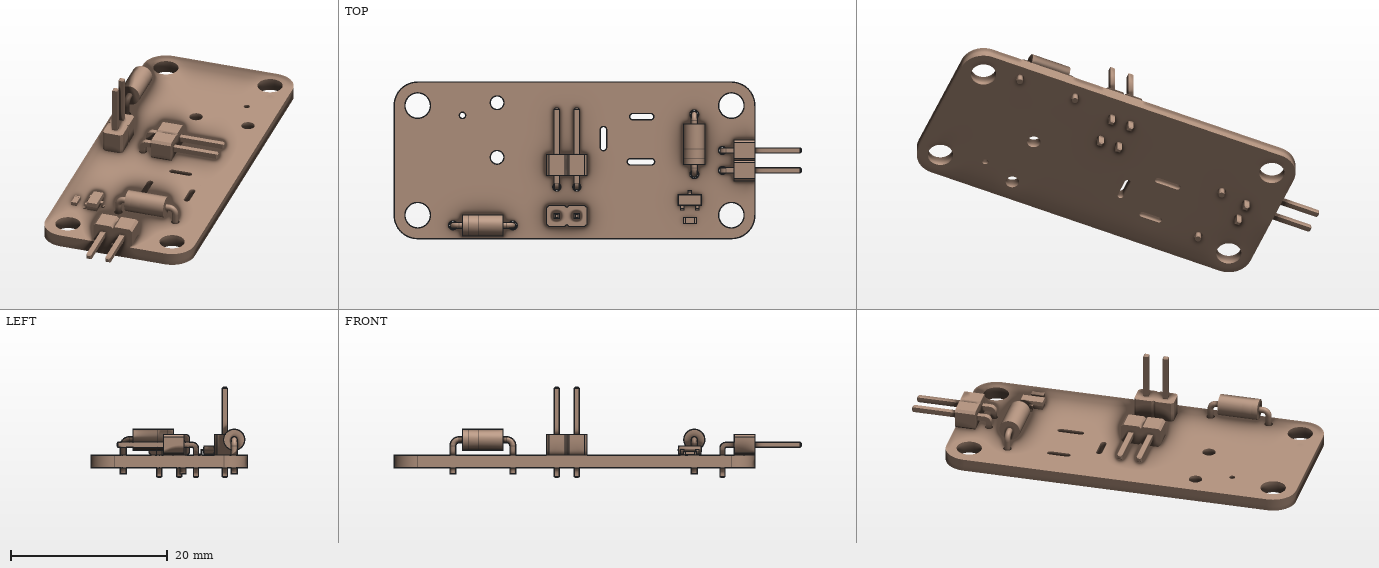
import cadquery as cq
import math

OVERALL_LENGTH = 51.95
BOARD_LENGTH = 46.0
BOARD_WIDTH = 20.0
BOARD_THICKNESS = 1.6
BOARD_CORNER_RADIUS = 3.0
MOUNT_HOLE_DIAMETER = 3.2
MOUNT_HOLE_INSET = 3.0

LARGE_HOLE_DIAMETER = 1.7
LARGE_HOLE_X = 13.15
LARGE_HOLE_YS = (10.4, 17.35)
SMALL_HOLE_DIAMETER = 0.8
SMALL_HOLE_CENTER = (8.7, 15.75)

SLOT_WIDTH = 0.8
SLOTS = (
    ((26.7, 12.8), 3.05, 90),
    ((31.6, 15.6), 3.05, 0),
    ((31.5, 9.8), 3.5, 0),
)

DIODE_DIAMETER = 2.7
DIODE_LENGTH = 5.2
DIODE_BAND_START = 0.8
DIODE_BAND_WIDTH = 1.25
DIODE_CLEARANCE = 0.6
DIODE_AXIS_Z = BOARD_THICKNESS + DIODE_CLEARANCE + DIODE_DIAMETER / 2
DIODE_LEAD_DIAMETER = 0.8
DIODE_LEAD_PITCH = 7.65
DIODE_LEAD_BEND_RADIUS = 0.8
DIODE_LEAD_BOTTOM_Z = -0.8
DIODE_HOLE_DIAMETER = 1.1
DIODES = (
    ((11.3, 1.7), 0),
    ((38.3, 12.05), 90),
)

PIN_PITCH = 2.55
PIN_OFFSETS = (-PIN_PITCH / 2, PIN_PITCH / 2)
PIN_SIZE = 0.7
PIN_TIP_CHAMFER = 0.15
PIN_BEND_RADIUS = 0.45
PIN_BOTTOM_Z = -1.25
PIN_HOLE_DIAMETER = 1.0
HOUSING_SIZE = 2.65
HOUSING_CHAMFER = 0.3

STRAIGHT_PIN_TOP_Z = 10.3
STRAIGHT_HEADER_CENTER = (22.0, 2.9)

ANGLED_PIN_Z = BOARD_THICKNESS + HOUSING_SIZE / 2
ANGLED_PIN_REACH = 10.1
ANGLED_HOUSING_START = 1.5
ANGLED_HEADERS = (
    ((OVERALL_LENGTH - ANGLED_PIN_REACH, BOARD_WIDTH / 2), 0),
    ((STRAIGHT_HEADER_CENTER[0], 6.6), 90),
)

TRANSISTOR_CENTER = (37.7, 4.95)
TRANSISTOR_LENGTH = 2.95
TRANSISTOR_WIDTH = 1.4
TRANSISTOR_STANDOFF = 0.1
TRANSISTOR_TOP = 1.2
TRANSISTOR_DRAFT = 0.05
TRANSISTOR_LEAD_SPAN = 2.5
TRANSISTOR_LEAD_WIDTH = 0.45
TRANSISTOR_LEAD_THICKNESS = 0.15
TRANSISTOR_LEAD_PITCH = 1.9
TRANSISTOR_FOOT_LENGTH = 0.35

RESISTOR_CENTER = (37.7, 2.35)
RESISTOR_LENGTH = 1.65
RESISTOR_WIDTH = 0.8
RESISTOR_HEIGHT = 0.45
RESISTOR_CAP_LENGTH = 0.25
RESISTOR_CAP_THICKNESS = 0.025


def placed(points, center, angle):
    """Turn local points by an angle about the origin, then shift them to a center."""
    cosine = math.cos(math.radians(angle))
    sine = math.sin(math.radians(angle))
    return [(center[0] + x * cosine - y * sine, center[1] + x * sine + y * cosine) for x, y in points]


def place(body, center, angle):
    """Turn a body about the Z axis, then shift it to its center on the board."""
    return body.rotate((0, 0, 0), (0, 0, 1), angle).translate((*center, 0))


def make_board():
    board = (
        cq.Workplane("XY")
        .box(BOARD_LENGTH, BOARD_WIDTH, BOARD_THICKNESS, centered=False)
        .edges("|Z")
        .fillet(BOARD_CORNER_RADIUS)
    )

    def drill(points, diameter):
        return cq.Workplane("XY").pushPoints(points).circle(diameter / 2).extrude(BOARD_THICKNESS)

    mount_points = [
        (x, y)
        for x in (MOUNT_HOLE_INSET, BOARD_LENGTH - MOUNT_HOLE_INSET)
        for y in (MOUNT_HOLE_INSET, BOARD_WIDTH - MOUNT_HOLE_INSET)
    ]
    diode_legs = [(-DIODE_LEAD_PITCH / 2, 0), (DIODE_LEAD_PITCH / 2, 0)]
    diode_points = [point for center, angle in DIODES for point in placed(diode_legs, center, angle)]
    straight_legs = [(offset, 0) for offset in PIN_OFFSETS]
    angled_legs = [(0, offset) for offset in PIN_OFFSETS]
    pin_points = placed(straight_legs, STRAIGHT_HEADER_CENTER, 0)
    for center, angle in ANGLED_HEADERS:
        pin_points += placed(angled_legs, center, angle)

    board = board.cut(drill(mount_points, MOUNT_HOLE_DIAMETER))
    board = board.cut(drill([(LARGE_HOLE_X, y) for y in LARGE_HOLE_YS], LARGE_HOLE_DIAMETER))
    board = board.cut(drill([SMALL_HOLE_CENTER], SMALL_HOLE_DIAMETER))
    board = board.cut(drill(diode_points, DIODE_HOLE_DIAMETER))
    board = board.cut(drill(pin_points, PIN_HOLE_DIAMETER))
    for center, length, angle in SLOTS:
        slot = cq.Workplane("XY").center(*center).slot2D(length, SLOT_WIDTH, angle)
        board = board.cut(slot.extrude(BOARD_THICKNESS))
    return board


def make_diode(center, angle):
    radius = DIODE_DIAMETER / 2
    start = -DIODE_LENGTH / 2
    band_start = start + DIODE_BAND_START
    body = (
        cq.Workplane("XZ", origin=(0, 0, DIODE_AXIS_Z))
        .moveTo(start, 0)
        .lineTo(start, radius)
        .lineTo(band_start, radius)
        .lineTo(band_start + DIODE_BAND_WIDTH, radius)
        .lineTo(-start, radius)
        .lineTo(-start, 0)
        .close()
        .revolve(360, (0, 0, 0), (1, 0, 0), clean=False)
    )

    leg_x = -DIODE_LEAD_PITCH / 2
    bend = DIODE_LEAD_BEND_RADIUS
    path = (
        cq.Workplane("XZ")
        .moveTo(leg_x, DIODE_LEAD_BOTTOM_Z)
        .lineTo(leg_x, DIODE_AXIS_Z - bend)
        .radiusArc((leg_x + bend, DIODE_AXIS_Z), bend)
        .lineTo(start, DIODE_AXIS_Z)
    )
    lead = (
        cq.Workplane("XY", origin=(leg_x, 0, DIODE_LEAD_BOTTOM_Z))
        .circle(DIODE_LEAD_DIAMETER / 2)
        .sweep(path)
    )
    diode = body.union(lead, clean=False).union(lead.mirror("YZ"), clean=False)
    return place(diode, center, angle)


def make_housing(plane):
    """Two joined blocks, one around each pin, pitched along the plane's first axis and chamfered."""
    half = HOUSING_SIZE / 2
    inner = half - HOUSING_CHAMFER
    corners = [
        (half, inner), (inner, half), (-inner, half), (-half, inner),
        (-half, -inner), (-inner, -half), (inner, -half), (half, -inner),
    ]
    blocks = [
        plane.center(offset, 0).polyline(corners).close().extrude(HOUSING_SIZE)
        for offset in PIN_OFFSETS
    ]
    return blocks[0].union(blocks[1])


def make_straight_header():
    header = make_housing(cq.Workplane("XY", origin=(0, 0, BOARD_THICKNESS)))
    for offset in PIN_OFFSETS:
        pin = (
            cq.Workplane("XY", origin=(offset, 0, PIN_BOTTOM_Z))
            .rect(PIN_SIZE, PIN_SIZE)
            .extrude(STRAIGHT_PIN_TOP_Z - PIN_BOTTOM_Z)
            .faces("<Z or >Z")
            .chamfer(PIN_TIP_CHAMFER)
        )
        header = header.union(pin)
    return place(header, STRAIGHT_HEADER_CENTER, 0)


def make_angled_header(center, angle):
    header = make_housing(cq.Workplane("YZ", origin=(ANGLED_HOUSING_START, 0, ANGLED_PIN_Z)))
    path = (
        cq.Workplane("XZ")
        .moveTo(0, PIN_BOTTOM_Z)
        .lineTo(0, ANGLED_PIN_Z - PIN_BEND_RADIUS)
        .radiusArc((PIN_BEND_RADIUS, ANGLED_PIN_Z), PIN_BEND_RADIUS)
        .lineTo(ANGLED_PIN_REACH, ANGLED_PIN_Z)
    )
    pin = (
        cq.Workplane("XY", origin=(0, 0, PIN_BOTTOM_Z))
        .rect(PIN_SIZE, PIN_SIZE)
        .sweep(path)
        .faces("<Z or >X")
        .chamfer(PIN_TIP_CHAMFER)
    )
    for offset in PIN_OFFSETS:
        header = header.union(pin.translate((0, offset, 0)))
    return place(header, center, angle)


def make_transistor():
    """Molded block tapering away from its parting plane, with gull-wing leads along that plane."""
    parting_z = (TRANSISTOR_STANDOFF + TRANSISTOR_TOP) / 2
    half_height = (TRANSISTOR_TOP - TRANSISTOR_STANDOFF) / 2
    taper = math.degrees(math.atan(TRANSISTOR_DRAFT / half_height))
    upper_half = (
        cq.Workplane("XY", origin=(0, 0, parting_z))
        .rect(TRANSISTOR_LENGTH, TRANSISTOR_WIDTH)
        .extrude(half_height, taper=taper)
    )
    transistor = upper_half.union(upper_half.mirror("XY", (0, 0, parting_z)))

    thickness = TRANSISTOR_LEAD_THICKNESS
    tip_y = TRANSISTOR_LEAD_SPAN / 2
    riser_y = tip_y - TRANSISTOR_FOOT_LENGTH
    shoulder_z = parting_z + thickness / 2
    lead = (
        cq.Workplane("YZ")
        .moveTo(0, shoulder_z)
        .lineTo(riser_y + thickness, shoulder_z)
        .lineTo(riser_y + thickness, thickness)
        .lineTo(tip_y, thickness)
        .lineTo(tip_y, 0)
        .lineTo(riser_y, 0)
        .lineTo(riser_y, shoulder_z - thickness)
        .lineTo(0, shoulder_z - thickness)
        .close()
        .extrude(TRANSISTOR_LEAD_WIDTH / 2, both=True)
    )
    transistor = transistor.union(lead)
    for side in (-1, 1):
        transistor = transistor.union(lead.mirror("XZ").translate((side * TRANSISTOR_LEAD_PITCH / 2, 0, 0)))
    return transistor.translate((*TRANSISTOR_CENTER, BOARD_THICKNESS))


def make_resistor():
    """Chip whose end caps wrap around a slightly slimmer core."""
    on_board = (True, True, False)
    cap = RESISTOR_CAP_THICKNESS
    resistor = (
        cq.Workplane("XY", origin=(0, 0, cap))
        .box(RESISTOR_LENGTH - 2 * cap, RESISTOR_WIDTH - 2 * cap, RESISTOR_HEIGHT - 2 * cap, on_board)
    )
    for side in (-1, 1):
        cap_x = side * (RESISTOR_LENGTH - RESISTOR_CAP_LENGTH) / 2
        end_cap = cq.Workplane("XY").box(RESISTOR_CAP_LENGTH, RESISTOR_WIDTH, RESISTOR_HEIGHT, on_board)
        resistor = resistor.union(end_cap.translate((cap_x, 0, 0)))
    return resistor.translate((*RESISTOR_CENTER, BOARD_THICKNESS))


board = make_board()
diodes = [make_diode(center, angle) for center, angle in DIODES]
straight_header = make_straight_header()
angled_headers = [make_angled_header(center, angle) for center, angle in ANGLED_HEADERS]
transistor = make_transistor()
resistor = make_resistor()

result = cq.Compound.makeCompound([
    board.val(),
    *[diode.val() for diode in diodes],
    straight_header.val(),
    *[header.val() for header in angled_headers],
    transistor.val(),
    resistor.val(),
])